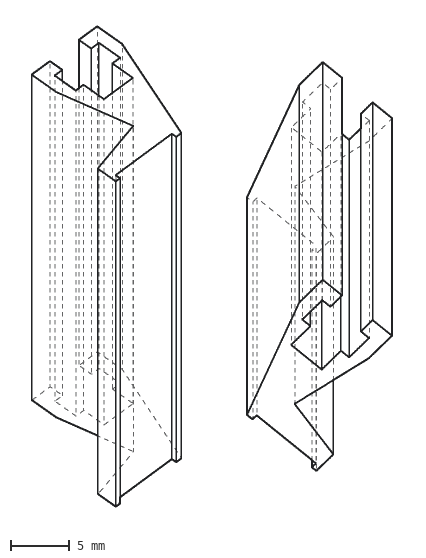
import cadquery as cq

length = 40.1
width = 14.0
depth = 12.05

head_depth = 8.0
head_flat = 2.95
slot_opening = 3.53
slot_end = 6.45
recess_width = 5.4
recess_start = 1.5
recess_end = 4.0

slope_drop = 4.0
crotch_x = 10.45
crotch_drop = 6.3
leg_foot_x = 11.83

groove_depth = 0.52
upper_lip = 0.65
lower_lip = 0.52

slot_center_y = -head_depth / 2
groove_top = slope_drop + upper_lip
groove_height = depth - lower_lip - groove_top


def box_between(x_start, x_end, y_center, y_size):
    """Full-length cutter spanning x_start to x_end, centred on y_center."""
    return (
        cq.Workplane("XY")
        .center((x_start + x_end) / 2, y_center)
        .rect(x_end - x_start, y_size)
        .extrude(length)
    )


outline = [
    (0, 0),
    (head_flat, 0),
    (width, -slope_drop),
    (width, -depth),
    (leg_foot_x, -depth),
    (crotch_x, -crotch_drop),
    (head_flat, -head_depth),
    (0, -head_depth),
]
body = cq.Workplane("XY").polyline(outline).close().extrude(length)

channel = box_between(0, slot_end, slot_center_y, slot_opening)
recess = box_between(recess_start, recess_end, slot_center_y, recess_width)

groove = box_between(width - groove_depth, width, -groove_top - groove_height / 2, groove_height)

result = body.cut(channel).cut(recess).cut(groove)